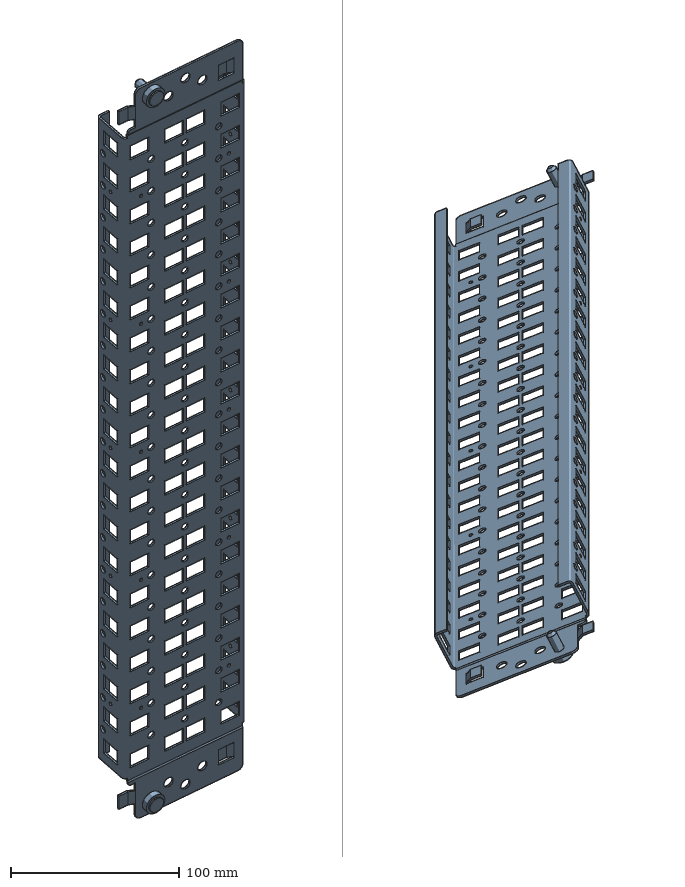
import cadquery as cq


overall_length = 570.0
sheet = 1.35
bend_radius = 2.55
channel_width = 90.0
channel_length = 500.0
lip_face_x = -28.0
lip_width = 8.5
jog_offset = 0.5
web_face_x = -jog_offset
channel_depth = web_face_x - lip_face_x

row_count = 20
pitch = channel_length / row_count
window_width = 13.5
window_height = 11.0
hole_diameter = 4.8
pilot_diameter = 2.0
pilot_every = 4
inner_window_y = 8.0
outer_window_y = 33.5
web_pilot_y = 32.5
wall_window_x = -14.0
wall_hole_x = -21.5
wall_pilot_x = -14.0

plate_half_width = channel_width / 2 - bend_radius
hook_edge_y = -37.0
shoulder_z = 256.0
jog_start_z = 252.0
jog_end_z = 253.0
corner_radius = 4.0
shoulder_radius = 2.0
plate_hole_diameter = 7.0
plate_hole_z = 276.0
side_hole_y = 12.5
side_hole_z = 268.0

hook_z = 267.5
hook_height = 10.0
hook_length = 11.0
hook_jog_length = 4.0
hook_offset = 2.0
slot_y = 36.0
slot_length = 11.5
slot_height = 12.0

screw_y = -25.0
shank_diameter = 6.0
shank_length = 14.0
tip_chamfer = 1.5
flange_diameter = 13.5
head_diameter = 10.0
flange_thickness = 4.0
head_height = 5.0


def box(x_range, y_range, z_range):
    """Box between pairs of limits."""
    (x0, x1), (y0, y1), (z0, z1) = x_range, y_range, z_range
    block = cq.Workplane("XY").box(x1 - x0, y1 - y0, z1 - z0, centered=False)
    return block.translate((x0, y0, z0))


def x_cylinder(diameter, x_start, length, y, z):
    """Cylinder running along +X from x_start."""
    return cq.Workplane("YZ", origin=(x_start, y, z)).circle(diameter / 2).extrude(length)


def make_channel():
    """C-shaped channel with two inward lips."""
    middle_x = lip_face_x + channel_depth / 2
    outer = (
        cq.Workplane("XY")
        .box(channel_depth, channel_width, channel_length)
        .edges("|Z")
        .fillet(bend_radius)
    )
    inner = (
        cq.Workplane("XY")
        .box(channel_depth - 2 * sheet, channel_width - 2 * sheet, channel_length)
        .edges("|Z")
        .fillet(bend_radius - sheet)
    )
    shell = outer.cut(inner).translate((middle_x, 0, 0))
    opening_half = channel_width / 2 - lip_width
    half_length = channel_length / 2
    opening = box(
        (lip_face_x, lip_face_x + 2 * sheet),
        (-opening_half, opening_half),
        (-half_length, half_length),
    )
    return shell.cut(opening)


def web_cutter(points, sketch):
    """Prism through the web at every (y, z) point; sketch draws one outline."""
    plane = cq.Workplane("YZ", origin=(web_face_x - 2 * sheet, 0, 0)).pushPoints(points)
    return sketch(plane).extrude(3 * sheet)


def wall_cutter(points, sketch):
    """Prism through both side walls at every (x, z) point."""
    plane = cq.Workplane("XZ").pushPoints(points)
    return sketch(plane).extrude(channel_width, both=True)


def perforate(channel):
    """Cut windows, round holes and pilot holes in the web and side walls."""
    window_rows = [(row - (row_count - 1) / 2) * pitch for row in range(row_count)]
    steps = range(1 - row_count // 2, row_count // 2)
    hole_rows = [step * pitch for step in steps]
    pilot_rows = [step * pitch for step in steps if step % pilot_every == 0]

    def hole(plane):
        return plane.circle(hole_diameter / 2)

    def pilot(plane):
        return plane.circle(pilot_diameter / 2)

    def window(plane):
        return plane.rect(window_width, window_height)

    web_columns = [
        (window, window_rows, (-outer_window_y, -inner_window_y, inner_window_y, outer_window_y)),
        (hole, hole_rows, (-pitch, 0, pitch)),
        (pilot, pilot_rows, (-web_pilot_y, web_pilot_y)),
    ]
    wall_columns = [
        (window, window_rows, wall_window_x),
        (hole, hole_rows, wall_hole_x),
        (pilot, pilot_rows, wall_pilot_x),
    ]
    for sketch, rows, columns in web_columns:
        points = [(y, z) for y in columns for z in rows]
        channel = channel.cut(web_cutter(points, sketch))
    for sketch, rows, x in wall_columns:
        channel = channel.cut(wall_cutter([(x, z) for z in rows], sketch))
    return channel


def make_hook(root_y):
    """Tongue starting in the plate at root_y and stepping inward toward -Y."""
    bend_end_y = root_y - hook_jog_length
    end_y = root_y - hook_length
    outer_line = [(0, root_y), (-hook_offset, bend_end_y), (-hook_offset, end_y)]
    inner_line = [(x - sheet, y) for x, y in reversed(outer_line)]
    return (
        cq.Workplane("XY", origin=(0, 0, hook_z - hook_height / 2))
        .polyline(outer_line + inner_line)
        .close()
        .extrude(hook_height)
    )


def make_screw():
    """Flanged screw through the plate, pointing to -X."""
    shank = x_cylinder(shank_diameter, -shank_length, shank_length, screw_y, plate_hole_z)
    flange = x_cylinder(flange_diameter, 0, flange_thickness, screw_y, plate_hole_z)
    head = x_cylinder(head_diameter, 0, head_height, screw_y, plate_hole_z)
    return shank.faces("<X").chamfer(tip_chamfer).union(flange).union(head)


def make_end():
    """Upper end plate with its jog, holes, hooks and screw."""
    channel_end = channel_length / 2
    top = overall_length / 2
    outer_line = [(web_face_x, channel_end), (web_face_x, jog_start_z), (0, jog_end_z), (0, top)]
    inner_line = [(x - sheet, z) for x, z in reversed(outer_line)]
    plate = (
        cq.Workplane("XZ")
        .polyline(outer_line + inner_line)
        .close()
        .extrude(plate_half_width, both=True)
    )
    through_plate = (-2 * sheet, sheet)
    notch = box(through_plate, (-channel_width, hook_edge_y), (shoulder_z, top))
    plate = plate.cut(notch).edges("|X and >Z").fillet(corner_radius)
    shoulder = cq.selectors.NearestToPointSelector((0, -plate_half_width, shoulder_z))
    plate = plate.edges("|X").edges(shoulder).fillet(shoulder_radius)

    slot = box(
        through_plate,
        (slot_y - slot_length, slot_y),
        (hook_z - slot_height / 2, hook_z + slot_height / 2),
    )
    plate = plate.cut(slot)
    for y, z in ((0, plate_hole_z), (-side_hole_y, side_hole_z), (side_hole_y, side_hole_z)):
        plate = plate.cut(x_cylinder(plate_hole_diameter, -2 * sheet, 3 * sheet, y, z))
    return plate.union(make_hook(slot_y)).union(make_hook(hook_edge_y)).union(make_screw())


upper_end = make_end()
lower_end = upper_end.mirror("XY")
result = perforate(make_channel()).union(upper_end).union(lower_end)